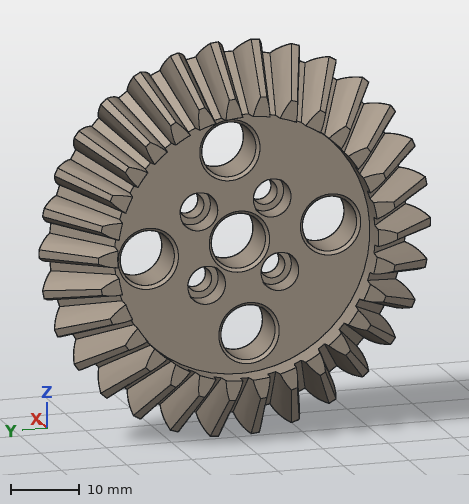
import cadquery as cq
import math

THICKNESS = 10.85
TIP_RADIUS = 29.95
TIP_X = 6.45
FRONT_TIP_RADIUS = 22.9
BACK_RADIUS = 26.6

RECESS_RADIUS = 19.95
RECESS_DEPTH = 4.2

TOOTH_COUNT = 30
APEX_DISTANCE = FRONT_TIP_RADIUS * TIP_X / (TIP_RADIUS - FRONT_TIP_RADIUS)
ROOT_RADIUS = 24.25
ROOT_HALF_ANGLE = 1.7
FLANK_RADIUS = 26.6
FLANK_HALF_ANGLE = 2.5
TIP_HALF_ANGLE = 4.8
CUT_OVERRUN = 1.2

PATTERN_TURN = 180.0 / TOOTH_COUNT
BORE_DIAMETER = 8.25
BORE_CHAMFER = 0.5
BORE_CIRCLE_RADIUS = 14.0
SCREW_DIAMETER = 3.8
SCREW_HEAD_DIAMETER = 5.75
SCREW_HEAD_DEPTH = 3.6
SCREW_CIRCLE_RADIUS = 7.95
HOLES_PER_CIRCLE = 4
SCREW_TURN = 180.0 / HOLES_PER_CIRCLE


def make_blank():
    """Turned body: tip cone, back cone and the round recess in the front."""
    outline = [
        (RECESS_DEPTH, 0),
        (RECESS_DEPTH, RECESS_RADIUS),
        (0, RECESS_RADIUS),
        (0, FRONT_TIP_RADIUS),
        (TIP_X, TIP_RADIUS),
        (THICKNESS, BACK_RADIUS),
        (THICKNESS, 0),
    ]
    return cq.Workplane("XY").polyline(outline).close().revolve(360, (0, 0, 0), (1, 0, 0))


def gap_section(x):
    """Closed outline of one tooth gap, around +Y, in the plane across the axis at x."""
    scale = (x + APEX_DISTANCE) / (TIP_X + APEX_DISTANCE)

    def point(tip_plane_radius, half_angle, side):
        radius = tip_plane_radius * scale
        angle = math.radians(half_angle) * side
        return cq.Vector(x, radius * math.cos(angle), radius * math.sin(angle))

    roots = [point(ROOT_RADIUS, ROOT_HALF_ANGLE, side) for side in (-1, 1)]
    flanks = [point(FLANK_RADIUS, FLANK_HALF_ANGLE, side) for side in (-1, 1)]
    tips = [point(TIP_RADIUS, TIP_HALF_ANGLE, side) for side in (-1, 1)]
    peak = cq.Vector(x, TIP_RADIUS * scale + CUT_OVERRUN, 0)
    return cq.Wire.assembleEdges([
        cq.Edge.makeLine(roots[0], roots[1]),
        cq.Edge.makeThreePointArc(roots[1], flanks[1], tips[1]),
        cq.Edge.makeLine(tips[1], peak),
        cq.Edge.makeLine(peak, tips[0]),
        cq.Edge.makeThreePointArc(tips[0], flanks[0], roots[0]),
    ])


def cut_teeth(body):
    """Cut the tapered gaps, placed so that a tooth is centred on +Y."""
    pitch = 360.0 / TOOTH_COUNT
    sections = [gap_section(-CUT_OVERRUN), gap_section(THICKNESS + CUT_OVERRUN)]
    gap = cq.Solid.makeLoft(sections, True)
    axis = cq.Vector(1, 0, 0)
    gaps = [gap.rotate(cq.Vector(), axis, (i + 0.5) * pitch) for i in range(TOOTH_COUNT)]
    return cq.Workplane(body.val().cut(*gaps))


def make_cylinder(diameter, x_start, x_end):
    """Cylinder along X, centred on the axis."""
    return cq.Workplane("YZ", origin=(x_start, 0, 0)).circle(diameter / 2).extrude(x_end - x_start)


def make_bore():
    """Through bore with a chamfered mouth in the recess floor."""
    mouth_radius = BORE_DIAMETER / 2 + BORE_CHAMFER
    mouth = cq.Solid.makeCone(
        mouth_radius, BORE_DIAMETER / 2, BORE_CHAMFER, cq.Vector(RECESS_DEPTH, 0, 0), cq.Vector(1, 0, 0)
    )
    return make_cylinder(BORE_DIAMETER, RECESS_DEPTH, THICKNESS).union(cq.Workplane(mouth))


def make_screw_hole():
    """Through hole with a counterbore in the recess floor."""
    head = make_cylinder(SCREW_HEAD_DIAMETER, RECESS_DEPTH, RECESS_DEPTH + SCREW_HEAD_DEPTH)
    return make_cylinder(SCREW_DIAMETER, RECESS_DEPTH, THICKNESS).union(head)


def cut_circle_of_holes(body, hole, circle_radius, first_angle):
    """Cut evenly spaced copies of a hole around the axis, the angle measured from +Y to +Z."""
    hole = hole.translate((0, circle_radius, 0))
    for i in range(HOLES_PER_CIRCLE):
        angle = first_angle + i * 360.0 / HOLES_PER_CIRCLE
        body = body.cut(hole.rotate((0, 0, 0), (1, 0, 0), angle))
    return body


result = cut_teeth(make_blank())
result = result.cut(make_bore())
result = cut_circle_of_holes(result, make_bore(), BORE_CIRCLE_RADIUS, -PATTERN_TURN)
result = cut_circle_of_holes(result, make_screw_hole(), SCREW_CIRCLE_RADIUS, SCREW_TURN - PATTERN_TURN)